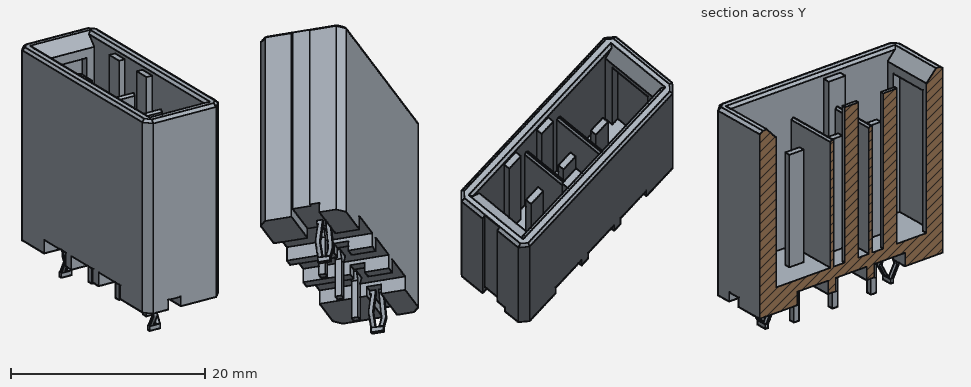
import cadquery as cq


length = 24.16
width = 9.35
height = 21.65
corner_cut_x = 0.85
corner_cut_y = 0.8
rim_bevel_x = 0.4
rim_bevel_y = 0.3
rim_bevel_height = 0.3
rim_corner_ratio = 0.7

cavity_length = 19.75
cavity_width = 6.74
floor_z = 3.0
end_lead_in = 1.27
end_lead_in_height = 1.36
side_lead_in = 0.35
side_lead_in_height = 0.3
end_pocket_width = 4.84
end_pocket_depth = 0.85
end_pocket_top = 19.25

pitch = 5.08
rib_width = 1.83
rib_depth = 0.71
rib_recess = 0.7
rib_top = height - rib_recess
key_width = 2.2
key_depth = 0.87
divider_thickness = 0.5
divider_eave = 17.53
divider_ridge = divider_eave + divider_thickness / 2
divider_positions = (-pitch / 2, pitch / 2)
rib_positions = (-pitch, 0)
key_position = -pitch / 2

groove_width = 2.0
groove_depth = 0.36
notch_width = 4.03
notch_height = 1.55
clip_slot_y = -1.26
clip_slot_width = 1.56
clip_slot_height = 1.09

pin_positions = (-pitch, 0, pitch)
pin_thickness = 0.7
blade_width = 1.9
blade_top = 16.0
tail_width = 0.7
tail_bottom = -3.58
taper_bottom = 0.7
taper_top = 1.8

clip_positions = (-8.25, 8.25)
clip_length = 1.32
arm_thickness_y = 0.47
arm_thickness_x = 0.29
clip_half_stem = 0.19
clip_half_bow = 0.95
clip_anchor_top = 2.2
arm_top = 0.7
bow_z = -1.8
bow_outer_radius = 0.5
bow_inner_radius = 0.25
arm_bottom = -3.22
clip_bottom = -3.75


def block(x_min, x_max, y_min, y_max, z_min, z_max):
    """Box given by its limits on each axis."""
    size = (x_max - x_min, y_max - y_min, z_max - z_min)
    return cq.Workplane("XY").box(*size, centered=False).translate((x_min, y_min, z_min))


def centred_block(x, x_size, y_min, y_max, z_min, z_max):
    """Box centred on x, with limits on Y and Z."""
    return block(x - x_size / 2, x + x_size / 2, y_min, y_max, z_min, z_max)


def octagon(x_size, y_size, cut_x, cut_y):
    """Corner points of a rectangle with its four corners cut off."""
    x = x_size / 2
    y = y_size / 2
    return [
        (x, y - cut_y), (x - cut_x, y), (cut_x - x, y), (-x, y - cut_y),
        (-x, cut_y - y), (cut_x - x, -y), (x - cut_x, -y), (x, cut_y - y),
    ]


def make_shell():
    shoulder_z = height - rim_bevel_height
    outline = octagon(length, width, corner_cut_x, corner_cut_y)
    rim_outline = octagon(
        length - 2 * rim_bevel_x,
        width - 2 * rim_bevel_y,
        corner_cut_x * rim_corner_ratio,
        corner_cut_y * rim_corner_ratio,
    )
    walls = cq.Workplane("XY").polyline(outline).close().extrude(shoulder_z)
    rim = (
        cq.Workplane("XY", origin=(0, 0, shoulder_z)).polyline(outline).close()
        .workplane(offset=rim_bevel_height).polyline(rim_outline).close()
        .loft(ruled=True)
    )
    return walls.union(rim)


def funnel(plane, opening, lead_in, lead_in_height, depth):
    """Prism across the part whose section is a straight slot widening at the rim."""
    half = opening / 2
    lead_in_z = height - lead_in_height
    return (
        cq.Workplane(plane)
        .polyline([
            (-half, floor_z), (half, floor_z), (half, lead_in_z), (half + lead_in, height),
            (-half - lead_in, height), (-half, lead_in_z),
        ])
        .close()
        .extrude(depth / 2, both=True)
    )


def make_cavity():
    along = funnel("XZ", cavity_length, end_lead_in, end_lead_in_height, width)
    across = funnel("YZ", cavity_width, side_lead_in, side_lead_in_height, length)
    end_pockets = block(
        -cavity_length / 2 - end_pocket_depth, cavity_length / 2 + end_pocket_depth,
        -end_pocket_width / 2, end_pocket_width / 2,
        floor_z, end_pocket_top,
    )
    return along.intersect(across).union(end_pockets)


def make_underside_openings():
    slot_y_min = clip_slot_y - clip_slot_width / 2
    slot_y_max = clip_slot_y + clip_slot_width / 2
    openings = block(-length / 2, length / 2, slot_y_min, slot_y_max, 0, clip_slot_height)
    first_notch_x = pin_positions[0] - notch_width / 2
    end_notch = block(
        -length / 2, first_notch_x, slot_y_min, groove_width / 2, 0, clip_slot_height
    )
    openings = openings.union(end_notch)
    for x in pin_positions:
        notch = centred_block(x, notch_width, -width / 2, width / 2, 0, notch_height)
        openings = openings.union(notch)
    return openings


def make_groove():
    return block(
        -length / 2, -length / 2 + groove_depth,
        -groove_width / 2, groove_width / 2,
        0, height,
    )


def make_rib(x):
    wall_y = cavity_width / 2
    return centred_block(x, rib_width, wall_y - rib_depth, wall_y, floor_z, rib_top)


def make_key():
    wall_y = -cavity_width / 2
    return centred_block(key_position, key_width, wall_y, wall_y + key_depth, floor_z, rib_top)


def make_divider(x):
    """Partition across the cavity with a roof-shaped top."""
    half = divider_thickness / 2
    return (
        cq.Workplane("XZ")
        .polyline([
            (x - half, floor_z), (x + half, floor_z), (x + half, divider_eave),
            (x, divider_ridge), (x - half, divider_eave),
        ])
        .close()
        .extrude(cavity_width / 2, both=True)
    )


def make_pin(x):
    """Flat contact: wide blade above, tapering to a square tail below."""
    half_blade = blade_width / 2
    half_tail = tail_width / 2
    return (
        cq.Workplane("XZ")
        .polyline([
            (x - half_tail, tail_bottom), (x + half_tail, tail_bottom),
            (x + half_tail, taper_bottom), (x + half_blade, taper_top),
            (x + half_blade, blade_top), (x - half_blade, blade_top),
            (x - half_blade, taper_top), (x - half_tail, taper_bottom),
        ])
        .close()
        .extrude(pin_thickness / 2, both=True)
    )


def edge_near(x, y, z):
    """Selector for the edge whose centre is nearest to a point."""
    return cq.selectors.NearestToPointSelector((x, y, z))


def make_clip_arm(x, side, y_centre):
    """One arm of a board clip, bowed toward -X (side = -1) or +X (side = 1)."""
    outer_stem = x + side * clip_half_stem
    inner_stem = outer_stem - side * arm_thickness_x
    outer_bow = x + side * clip_half_bow
    inner_bow = outer_bow - side * arm_thickness_x
    arm = (
        cq.Workplane("XZ", origin=(0, y_centre, 0))
        .polyline([
            (outer_stem, arm_top), (outer_bow, bow_z), (outer_stem, arm_bottom),
            (inner_stem, arm_bottom), (inner_bow, bow_z), (inner_stem, arm_top),
        ])
        .close()
        .extrude(arm_thickness_y / 2, both=True)
    )
    arm = arm.edges(edge_near(outer_bow, y_centre, bow_z)).fillet(bow_outer_radius)
    return arm.edges(edge_near(inner_bow, y_centre, bow_z)).fillet(bow_inner_radius)


def make_clip(x):
    y_min = clip_slot_y - clip_length / 2
    y_max = clip_slot_y + clip_length / 2
    slot_y_min = clip_slot_y - clip_slot_width / 2
    slot_y_max = clip_slot_y + clip_slot_width / 2
    stem_width = 2 * clip_half_stem
    gap = clip_length - 2 * arm_thickness_y

    anchor = centred_block(x, stem_width, slot_y_min, slot_y_max, arm_top, clip_anchor_top)
    gap_cut = centred_block(
        x, stem_width, clip_slot_y - gap / 2, clip_slot_y + gap / 2, arm_top, clip_slot_height
    )
    tip = centred_block(x, stem_width, y_min, y_max, clip_bottom, arm_bottom)
    rear_arm = make_clip_arm(x, -1, y_max - arm_thickness_y / 2)
    front_arm = make_clip_arm(x, 1, y_min + arm_thickness_y / 2)
    return anchor.cut(gap_cut).union(tip).union(rear_arm).union(front_arm)


result = make_shell().cut(make_cavity())
result = result.cut(make_underside_openings()).cut(make_groove())
result = result.union(make_key())
for rib_x in rib_positions:
    result = result.union(make_rib(rib_x))
for divider_x in divider_positions:
    result = result.union(make_divider(divider_x))
for pin_x in pin_positions:
    result = result.union(make_pin(pin_x))
for clip_x in clip_positions:
    result = result.union(make_clip(clip_x))